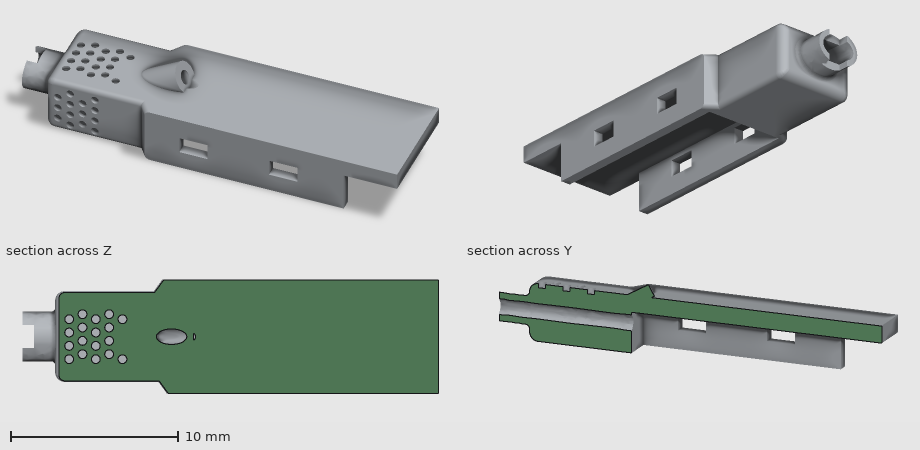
import cadquery as cq
import math

TOTAL_LENGTH = 24.9
TOTAL_WIDTH = 6.8
BODY_HEIGHT = 3.64
BODY_END = 21.46
TAIL_UNDERSIDE = 2.55
CHANNEL_WALL = 0.67

HEAD_FRONT = 1.97
HEAD_WIDTH = 5.43
FRONT_ROUND = 0.57
EDGE_ROUND = 0.3
SHOULDER_RUN = 0.5
SHOULDER_LEFT = 7.87
SHOULDER_RIGHT = 8.15

NOSE_WIDTH = 3.0
NOSE_HEIGHT = 2.35
NOSE_Z = 1.9
NOSE_FLARE = 0.22
PRONG_LENGTH = 0.7
PRONG_GAP = 1.4

BORE_WIDTH = 2.37
BORE_OVAL_HEIGHT = 1.55
BORE_HEIGHT = 2 * (TAIL_UNDERSIDE - NOSE_Z)

WINDOW_LENGTH = 1.82
WINDOW_BOTTOM = 1.17
WINDOW_TOP = 2.25
WINDOW_START = 10.88
WINDOW_PITCH = 5.78
WINDOW_COUNT = 2

SPOUT_ANGLE = 30.0
SPOUT_DIAMETER = 2.02
SPOUT_HOLE = 0.9
SPOUT_TIP_X = 9.4
SPOUT_TIP_Z = 4.95
RELIEF_RADIUS = 0.7
RELIEF_ANGLE = 12.0
RELIEF_LENGTH = 1.5

DIMPLE_DIAMETER = 0.5
DIMPLE_DEPTH = 0.25
DIMPLE_PITCH = 0.8
DIMPLE_STAGGER = 0.3
DIMPLE_START = 2.8
TOP_DIMPLE_Y = -1.35
SIDE_DIMPLE_Z = 0.55


def body():
    half_wide = TOTAL_WIDTH / 2
    half_head = HEAD_WIDTH / 2
    plan = (
        cq.Workplane("XY")
        .polyline([
            (HEAD_FRONT, -half_head),
            (SHOULDER_RIGHT, -half_head),
            (SHOULDER_RIGHT + SHOULDER_RUN, -half_wide),
            (TOTAL_LENGTH, -half_wide),
            (TOTAL_LENGTH, half_wide),
            (SHOULDER_LEFT + SHOULDER_RUN, half_wide),
            (SHOULDER_LEFT, half_head),
            (HEAD_FRONT, half_head),
        ])
        .close()
        .extrude(BODY_HEIGHT)
        .edges("|Z and <X")
        .fillet(FRONT_ROUND)
    )
    profile = (
        cq.Workplane("XZ")
        .polyline([
            (HEAD_FRONT, 0),
            (BODY_END, 0),
            (BODY_END, TAIL_UNDERSIDE),
            (TOTAL_LENGTH, TAIL_UNDERSIDE),
            (TOTAL_LENGTH, BODY_HEIGHT),
            (HEAD_FRONT, BODY_HEIGHT),
        ])
        .close()
        .extrude(TOTAL_WIDTH / 2, both=True)
        .edges("|Y and <X")
        .fillet(FRONT_ROUND)
    )
    block = plan.intersect(profile)
    head_zone = cq.selectors.BoxSelector(
        (HEAD_FRONT + FRONT_ROUND + EDGE_ROUND, -TOTAL_WIDTH, -BODY_HEIGHT),
        (SHOULDER_RIGHT + SHOULDER_RUN, TOTAL_WIDTH, 2 * BODY_HEIGHT),
    )
    return block.faces("<Z or >Z").edges(head_zone).fillet(EDGE_ROUND)


def nose_plane():
    """YZ plane at the nose tip, centred on the nose axis and facing +X."""
    return cq.Workplane("YZ", origin=(0, 0, NOSE_Z))


def add_nose(part):
    tube = nose_plane().ellipse(NOSE_WIDTH / 2, NOSE_HEIGHT / 2).extrude(HEAD_FRONT + FRONT_ROUND)
    joined = part.union(tube)
    root = cq.selectors.BoxSelector(
        (PRONG_LENGTH, -NOSE_WIDTH / 4, NOSE_Z - NOSE_HEIGHT / 4),
        (HEAD_FRONT + FRONT_ROUND, NOSE_WIDTH / 4, NOSE_Z + NOSE_HEIGHT / 4),
    )
    return joined.edges(root).fillet(NOSE_FLARE)


def cut_nose_and_bore(part):
    slot = nose_plane().rect(PRONG_GAP, 2 * NOSE_HEIGHT).extrude(PRONG_LENGTH)
    oval = nose_plane().ellipse(BORE_WIDTH / 2, BORE_OVAL_HEIGHT / 2).extrude(BODY_END)
    flats = nose_plane().rect(BORE_WIDTH, BORE_HEIGHT).extrude(BODY_END)
    return part.cut(slot).cut(oval.intersect(flats))


def cut_channel(part):
    """Open the body below and behind, leaving two side walls under the top plate."""
    start = SHOULDER_RIGHT + SHOULDER_RUN
    channel = cq.Workplane("XY", origin=(start, 0, 0)).box(
        BODY_END - start, TOTAL_WIDTH - 2 * CHANNEL_WALL, TAIL_UNDERSIDE, centered=(False, True, False)
    )
    return part.cut(channel)


def cut_windows(part):
    for index in range(WINDOW_COUNT):
        window = cq.Workplane("XY").box(
            WINDOW_LENGTH, TOTAL_WIDTH, WINDOW_TOP - WINDOW_BOTTOM, centered=(False, True, False)
        )
        start = WINDOW_START + index * WINDOW_PITCH
        part = part.cut(window.translate((start, 0, WINDOW_BOTTOM)))
    return part


def add_spout(part):
    angle = math.radians(SPOUT_ANGLE)
    outward = cq.Vector(math.cos(angle), 0, math.sin(angle))
    radius = SPOUT_DIAMETER / 2
    mouth = cq.Vector(
        SPOUT_TIP_X + radius * math.sin(angle), 0, SPOUT_TIP_Z - radius * math.cos(angle)
    )
    inner_length = (mouth.z - NOSE_Z) / math.sin(angle)
    spout = cq.Solid.makeCylinder(radius, inner_length, mouth, outward * -1)
    hole = cq.Solid.makeCylinder(SPOUT_HOLE / 2, inner_length, mouth, outward * -1)
    above_ceiling = cq.Workplane("XY", origin=(0, 0, TAIL_UNDERSIDE)).box(
        TOTAL_LENGTH, TOTAL_WIDTH, BODY_HEIGHT, centered=(False, True, False)
    )
    relief_end = RELIEF_RADIUS + RELIEF_LENGTH * math.tan(math.radians(RELIEF_ANGLE))
    relief = cq.Solid.makeCone(RELIEF_RADIUS, relief_end, RELIEF_LENGTH, mouth, outward)
    return part.union(above_ceiling.intersect(cq.Workplane(spout))).cut(hole).cut(relief)


def dimple_column(column, lowest, count):
    """(distance along the head, height across the face) of one column of dimples."""
    along = DIMPLE_START + column * DIMPLE_PITCH
    return [(along, lowest + row * DIMPLE_PITCH) for row in range(count)]


def cut_dimples(part):
    top_even = TOP_DIMPLE_Y + DIMPLE_STAGGER
    side_odd = SIDE_DIMPLE_Z + DIMPLE_STAGGER
    last_column = dimple_column(4, TOP_DIMPLE_Y, 4)
    outer_pair = [last_column[0], last_column[-1]]
    top_points = (
        dimple_column(0, TOP_DIMPLE_Y, 4)
        + dimple_column(1, top_even, 4)
        + dimple_column(2, TOP_DIMPLE_Y, 4)
        + dimple_column(3, top_even, 4)
        + outer_pair
    )
    side_points = (
        dimple_column(0, side_odd, 3)
        + dimple_column(1, SIDE_DIMPLE_Z, 4)
        + dimple_column(2, side_odd, 3)
        + dimple_column(3, SIDE_DIMPLE_Z, 4)
    )
    top = (
        cq.Workplane("XY", origin=(0, 0, BODY_HEIGHT))
        .pushPoints(top_points)
        .circle(DIMPLE_DIAMETER / 2)
        .extrude(-DIMPLE_DEPTH)
    )
    side = (
        cq.Workplane("XZ", origin=(0, -HEAD_WIDTH / 2, 0))
        .pushPoints(side_points)
        .circle(DIMPLE_DIAMETER / 2)
        .extrude(-DIMPLE_DEPTH)
    )
    return part.cut(top).cut(side)


result = body()
result = add_nose(result)
result = cut_nose_and_bore(result)
result = cut_channel(result)
result = cut_windows(result)
result = add_spout(result)
result = cut_dimples(result)